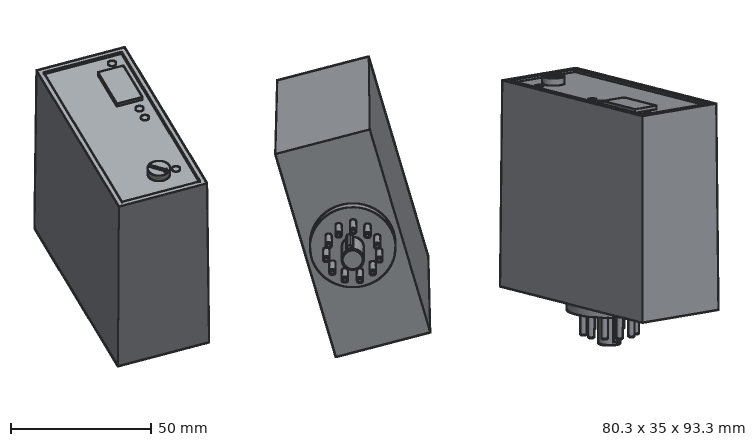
import cadquery as cq
import math

length_x = 80.3
width_y = 35.0
base_height = 3.3
case_top = 75.1
overlap = 0.2

case_inset = 0.6
rim_wall = 2.0
recess_depth = 0.9
panel_z = case_top - recess_depth

window_length = 18.3
window_width = 9.8
window_x = -21.0
window_y = 7.7
window_top = case_top + 0.4
lamp_diameter = 3.0
lamp_y = 9.9
lamp_x_places = (-34.1, -7.7, -2.5, 27.3)
lamp_height = 0.1

knob_diameter = 8.0
knob_x = 27.4
knob_y = 3.3
overall_height = 93.3
arrow_depth = 0.2
arrow_width = 0.8
arrow_head_leg = 1.2
arrow_tip = 3.45
arrow_tail = knob_diameter / 2 + overlap
arrow_angle = 45

plug_depth = 16.5
plug_disk_diameter = 30.5
plug_disk_height = 3.9
spigot_diameter = 7.9
spigot_chamfer = 0.4
key_reach = 5.1
key_width = 2.5
key_depth = 15.1
key_edge = 0.7
pin_count = 11
pin_circle_radius = 9.5
pin_diameter = 2.3
pin_depth = 13.0
pin_chamfer = 0.5

knob_top = overall_height - plug_depth


def hanging_cylinder(diameter, depth, end_chamfer):
    """Cylinder from just inside the base plate down to -depth, chamfered at its free end."""
    cylinder = cq.Workplane("XY").workplane(offset=overlap).circle(diameter / 2).extrude(-depth - overlap)
    return cylinder.faces("<Z").chamfer(end_chamfer)


def make_case():
    """Base plate and case with one continuous draft, kept as separate faces above and below the seam."""
    seam_inset = case_inset * base_height / case_top
    rim_inset = case_inset + rim_wall
    shell = (
        cq.Workplane("XY")
        .rect(length_x, width_y)
        .workplane(offset=base_height)
        .rect(length_x - 2 * seam_inset, width_y - 2 * seam_inset)
        .workplane(offset=case_top - base_height)
        .rect(length_x - 2 * case_inset, width_y - 2 * case_inset)
        .loft(ruled=True, clean=False)
    )
    return (
        shell.faces(">Z")
        .workplane()
        .rect(length_x - 2 * rim_inset, width_y - 2 * rim_inset)
        .cutBlind(-recess_depth, clean=False)
    )


def make_panel_details():
    panel = cq.Workplane("XY").workplane(offset=panel_z - overlap)
    window = panel.center(window_x, window_y).rect(window_length, window_width)
    window = window.extrude(window_top - panel_z + overlap)
    lamp_places = [(x, lamp_y) for x in lamp_x_places]
    lamps = panel.pushPoints(lamp_places).circle(lamp_diameter / 2).extrude(lamp_height + overlap)
    return window.union(lamps)


def make_knob():
    """Round knob with a sunken arrow that runs out through its rim."""
    knob = cq.Workplane("XY").workplane(offset=panel_z - overlap).circle(knob_diameter / 2)
    knob = knob.extrude(knob_top - panel_z + overlap)
    head_half_width = arrow_head_leg / math.sqrt(2)
    head_back = arrow_tip - head_half_width
    arrow = (
        cq.Workplane("XY")
        .workplane(offset=knob_top - arrow_depth)
        .moveTo(-arrow_tail, -arrow_width / 2)
        .lineTo(head_back, -arrow_width / 2)
        .lineTo(head_back, -head_half_width)
        .lineTo(arrow_tip, 0)
        .lineTo(head_back, head_half_width)
        .lineTo(head_back, arrow_width / 2)
        .lineTo(-arrow_tail, arrow_width / 2)
        .close()
        .extrude(arrow_depth)
        .rotate((0, 0, 0), (0, 0, 1), arrow_angle)
    )
    return knob.cut(arrow).translate((knob_x, knob_y, 0))


def make_key():
    """Locating key on the -X side of the spigot, with bevelled outer corners."""
    key = cq.Workplane("XY").box(key_reach, key_width, key_depth, centered=(False, True, False))
    key = key.translate((-key_reach, 0, -key_depth))
    return key.edges("|Z and <X").chamfer(key_edge)


def make_plug():
    disk = cq.Workplane("XY").workplane(offset=overlap).circle(plug_disk_diameter / 2)
    disk = disk.extrude(-plug_disk_height - overlap)
    plug = disk.union(hanging_cylinder(spigot_diameter, plug_depth, spigot_chamfer)).union(make_key())
    for index in range(pin_count):
        angle = 2 * math.pi * index / pin_count
        x = pin_circle_radius * math.cos(angle)
        y = pin_circle_radius * math.sin(angle)
        plug = plug.union(hanging_cylinder(pin_diameter, pin_depth, pin_chamfer).translate((x, y, 0)))
    return plug


result = make_case()
for piece in (make_panel_details(), make_knob(), make_plug()):
    result = result.union(piece, clean=False)